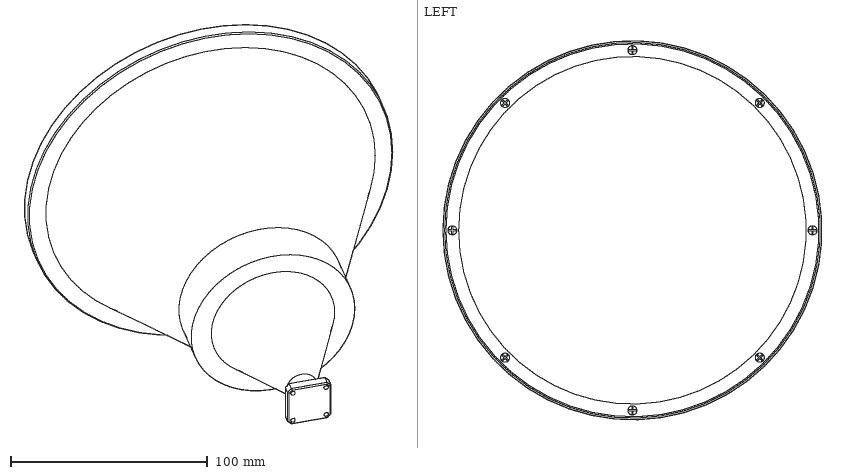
import cadquery as cq

OVERALL_LENGTH = 229.8
LENS_SEAT_X = 36.3
RIM_FRONT_X = 37.0
RIM_BACK_X = 44.0
COLLAR_FRONT_X = 138.1
COLLAR_BACK_X = 161.0
NECK_FRONT_X = 214.9
NECK_BACK_X = 225.0

RIM_RADIUS = 96.3
RIM_CHAMFER = 0.7
COLLAR_RADIUS = 43.2
CONE_MOUTH_RADIUS = 86.9
NECK_RADIUS = 7.8
CONE_SLOPE = (CONE_MOUTH_RADIUS - COLLAR_RADIUS) / (COLLAR_FRONT_X - RIM_BACK_X)
CONE_REAR_RADIUS = COLLAR_RADIUS - CONE_SLOPE * (COLLAR_BACK_X - COLLAR_FRONT_X)

FLANGE_SIDE = 23.0
FLANGE_CORNER = 2.0
FLANGE_EDGE_CHAMFER = 0.7
FLANGE_HOLE_DIAMETER = 2.3
FLANGE_HOLE_SPACING = 17.5

DOME_RADIUS = 88.3
DOME_MIDDLE_X = 9.5
LENS_RADIUS = 95.4
LENS_CHAMFER = RIM_FRONT_X - LENS_SEAT_X
LENS_PLATE_THICKNESS = 2.3
LENS_BACK_X = LENS_SEAT_X + LENS_PLATE_THICKNESS

SCREW_COUNT = 8
SCREW_CIRCLE_RADIUS = 91.5
SCREW_RADIUS = 2.3
SCREW_LENGTH = 4.5
CROSS_LENGTH = 4.0
CROSS_WIDTH = 0.7
CROSS_DEPTH = 0.7


def turned(profile):
    """Revolve a closed (x, radius) profile about the X axis."""
    return profile.close().revolve(360, (0, 0, 0), (1, 0, 0))


def disc(front_x, thickness, radius):
    """A cylinder along X whose front face lies at front_x."""
    return cq.Workplane("YZ", origin=(front_x, 0, 0)).circle(radius).extrude(thickness)


def screw_angles():
    return [index * 360 / SCREW_COUNT for index in range(SCREW_COUNT)]


def screw_blank(angle):
    """The plain cylinder that a screw fills, at one place on the screw circle."""
    blank = disc(LENS_SEAT_X, SCREW_LENGTH, SCREW_RADIUS).translate((0, 0, SCREW_CIRCLE_RADIUS))
    return blank.rotate((0, 0, 0), (1, 0, 0), angle)


def cut_screw_holes(body):
    for angle in screw_angles():
        body = body.cut(screw_blank(angle))
    return body


def make_waveguide_flange():
    flange = (
        cq.Workplane("YZ", origin=(NECK_BACK_X, 0, 0))
        .rect(FLANGE_SIDE, FLANGE_SIDE)
        .extrude(OVERALL_LENGTH - NECK_BACK_X)
        .edges("|X").chamfer(FLANGE_CORNER)
        .faces(">X").chamfer(FLANGE_EDGE_CHAMFER)
    )
    holes = (
        cq.Workplane("YZ", origin=(NECK_BACK_X, 0, 0))
        .rect(FLANGE_HOLE_SPACING, FLANGE_HOLE_SPACING, forConstruction=True)
        .vertices()
        .circle(FLANGE_HOLE_DIAMETER / 2)
        .extrude(OVERALL_LENGTH - NECK_BACK_X)
    )
    return flange.cut(holes)


def make_horn():
    rim = disc(RIM_FRONT_X, RIM_BACK_X - RIM_FRONT_X, RIM_RADIUS).faces(">X").chamfer(RIM_CHAMFER)
    cone = turned(
        cq.Workplane("XY")
        .moveTo(RIM_BACK_X, 0)
        .lineTo(RIM_BACK_X, CONE_MOUTH_RADIUS)
        .lineTo(COLLAR_FRONT_X, COLLAR_RADIUS)
        .lineTo(COLLAR_BACK_X, COLLAR_RADIUS)
        .lineTo(COLLAR_BACK_X, CONE_REAR_RADIUS)
        .lineTo(NECK_FRONT_X, NECK_RADIUS)
        .lineTo(NECK_BACK_X, NECK_RADIUS)
        .lineTo(NECK_BACK_X, 0)
    )
    lens_recess = disc(RIM_FRONT_X, LENS_BACK_X - RIM_FRONT_X, LENS_RADIUS)
    horn = rim.union(cone).union(make_waveguide_flange()).cut(lens_recess)
    return cut_screw_holes(horn)


def make_lens():
    """A plate with a rounded, very slightly pointed dome on its front."""
    lens = turned(
        cq.Workplane("XY")
        .moveTo(0, 0)
        .threePointArc((DOME_MIDDLE_X, DOME_RADIUS / 2), (LENS_SEAT_X, DOME_RADIUS))
        .lineTo(LENS_SEAT_X, LENS_RADIUS - LENS_CHAMFER)
        .lineTo(RIM_FRONT_X, LENS_RADIUS)
        .lineTo(LENS_BACK_X, LENS_RADIUS)
        .lineTo(LENS_BACK_X, 0)
    )
    return cut_screw_holes(lens)


def make_screw(angle):
    """A flush cylindrical screw with a cross recess in its head."""
    cross = cq.Workplane("YZ", origin=(LENS_SEAT_X, 0, SCREW_CIRCLE_RADIUS))
    slot = cross.rect(CROSS_LENGTH, CROSS_WIDTH).extrude(CROSS_DEPTH)
    other_slot = cross.rect(CROSS_WIDTH, CROSS_LENGTH).extrude(CROSS_DEPTH)
    recess = slot.union(other_slot).rotate((0, 0, 0), (1, 0, 0), angle)
    return screw_blank(angle).cut(recess)


horn = make_horn()
lens = make_lens()
screws = [make_screw(angle) for angle in screw_angles()]

result = cq.Compound.makeCompound([horn.val(), lens.val(), *[screw.val() for screw in screws]])